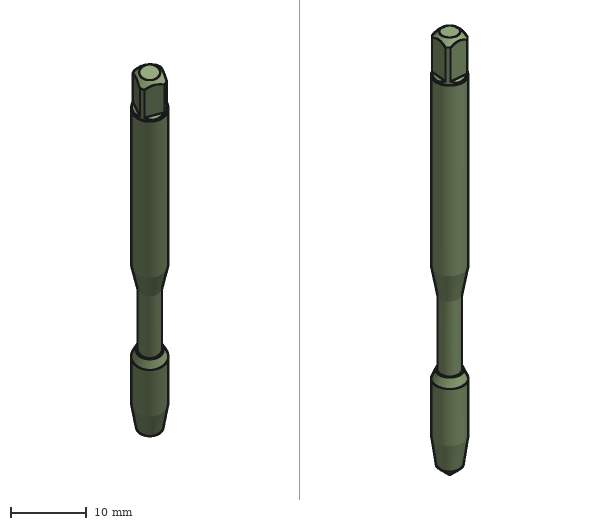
import cadquery as cq

total_length = 71.55
body_diameter = 4.95

point_diameter = 3.7
point_height = point_diameter / 2
lead_end_z = 6.4
back_cone_start_z = 15.6
head_top_z = 17.0
back_cone_diameter = 3.7

neck_diameter = 3.3
neck_end_z = 29.1
shank_start_z = 33.8
shank_end_z = 64.55

square_start_z = 65.1
square_width = 3.8
runout_slope = 0.8
square_corner_diameter = 4.7
end_face_diameter = 2.8
end_chamfer = (square_corner_diameter - end_face_diameter) / 2


def turned(profile):
    """Revolve (diameter, z) points, closed along the Z axis."""
    outline = [(0, profile[0][1])]
    outline += [(diameter / 2, z) for diameter, z in profile]
    outline.append((0, profile[-1][1]))
    return cq.Workplane("XZ").polyline(outline).close().revolve(360, (0, 0, 0), (0, 1, 0))


def make_head():
    """Tapered lead, cylindrical middle and back cone above a sharp point."""
    point = cq.Workplane("XY").add(cq.Solid.makeCone(0, point_diameter / 2, point_height))
    barrel = turned([
        (point_diameter, point_height),
        (body_diameter, lead_end_z),
        (body_diameter, back_cone_start_z),
        (back_cone_diameter, head_top_z),
    ])
    return barrel.union(point)


def cut_driving_square(shank):
    """Cut four flats, each running out through a slope at its lower end."""
    inner = square_width / 2
    outer = body_diameter
    runout_outer_z = square_start_z - (outer - inner) * runout_slope
    flat_cutter = (
        cq.Workplane("XZ")
        .polyline([
            (inner, total_length),
            (inner, square_start_z),
            (outer, runout_outer_z),
            (outer, total_length),
        ])
        .close()
        .extrude(body_diameter, both=True)
    )
    for side in range(4):
        shank = shank.cut(flat_cutter.rotate((0, 0, 0), (0, 0, 1), 90 * side))
    return shank


def make_shank():
    """Thin neck widening to the shank, with a driving square at the end."""
    blank = turned([
        (neck_diameter, head_top_z),
        (neck_diameter, neck_end_z),
        (body_diameter, shank_start_z),
        (body_diameter, shank_end_z),
        (square_corner_diameter, shank_end_z),
        (square_corner_diameter, total_length - end_chamfer),
        (end_face_diameter, total_length),
    ])
    return cut_driving_square(blank)


head = make_head()
shank = make_shank()

result = cq.Compound.makeCompound([head.val(), shank.val()])